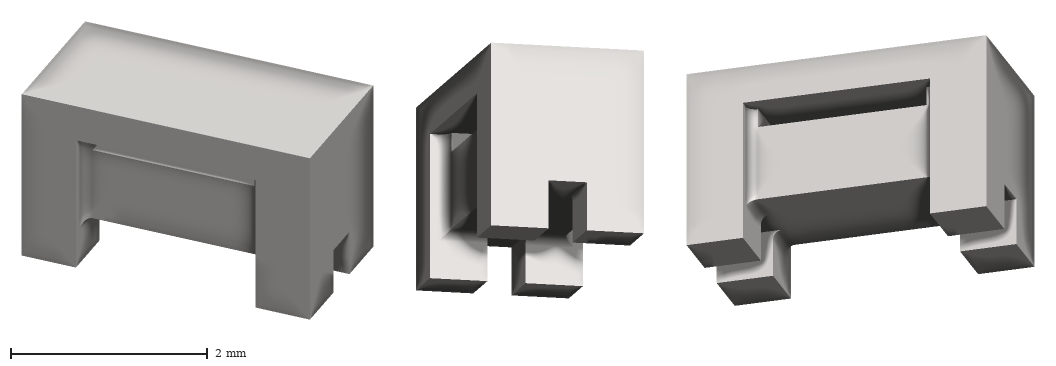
import cadquery as cq

length = 3.2
width = length / 2

height = 1.9
cover_thickness = 0.4
pad_thickness = cover_thickness / 2
core_top = height - cover_thickness

leg_length = 0.6
slot_width = 0.4
foot_width = (width - slot_width) / 2

bar_inset = 0.2
bar_width = width - 2 * bar_inset
bar_bottom = 0.5
fillet_radius = 0.1

gap_height = 0.2
leg_spacing = length - 2 * leg_length
gap_length = leg_spacing - 2 * fillet_radius


def block(size_x, size_y, bottom, top, center_x=0.0, center_y=0.0):
    """Box centred on a plan position, spanning two heights."""
    return (
        cq.Workplane("XY")
        .box(size_x, size_y, top - bottom, centered=(True, True, False))
        .translate((center_x, center_y, bottom))
    )


def make_core():
    """H-shaped core: two slotted legs joined by a filleted bar."""
    core = block(length, width, pad_thickness, core_top)

    core = core.cut(block(leg_spacing, width, pad_thickness, bar_bottom))
    side_center = (width - bar_inset) / 2
    for side in (-1, 1):
        core = core.cut(
            block(leg_spacing, bar_inset, pad_thickness, core_top, center_y=side * side_center)
        )

    joint_reach = 0.003
    joints = cq.selectors.BoxSelector(
        (-leg_spacing / 2 - joint_reach, -bar_width / 2 - joint_reach, bar_bottom - joint_reach),
        (leg_spacing / 2 + joint_reach, bar_width / 2 + joint_reach, core_top - joint_reach),
    )
    core = core.edges(joints).edges("|Z or |Y").fillet(fillet_radius)

    core = core.cut(block(gap_length, width, core_top - gap_height, core_top))
    return core.cut(block(length, slot_width, pad_thickness, bar_bottom))


def make_cover():
    """Flat plate lying on the two legs."""
    return block(length, width, core_top, height)


def make_pad(side_x, side_y):
    """Terminal pad under one foot of a leg."""
    center_x = side_x * (length - leg_length) / 2
    center_y = side_y * (width - foot_width) / 2
    return block(leg_length, foot_width, 0, pad_thickness, center_x, center_y)


core = make_core()
cover = make_cover()
pads = [make_pad(side_x, side_y) for side_x in (-1, 1) for side_y in (-1, 1)]

result = cq.Compound.makeCompound([core.solids().val(), cover.val(), *[pad.val() for pad in pads]])